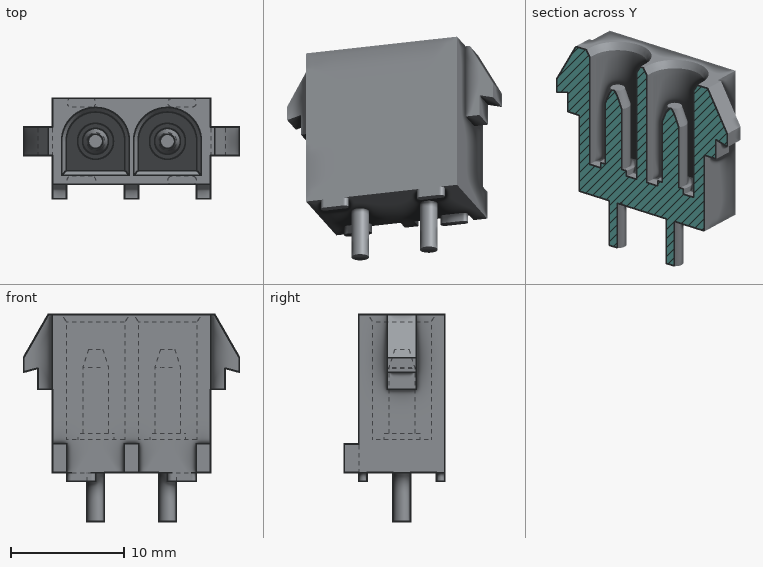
import cadquery as cq

GRID = 1.27
PITCH = 5 * GRID
BODY_WIDTH = 11 * GRID
BODY_DEPTH = 6 * GRID
BODY_HEIGHT = 11 * GRID

SOCKET_RADIUS = 2.59
SOCKET_LEAD_IN = 0.40
SOCKET_LEAD_IN_DEPTH = GRID / 2
SOCKET_DEPTH = 11.0
SOCKET_CENTERS = [-PITCH / 2, PITCH / 2]

COLLAR_DIAMETER = PITCH / 2
COLLAR_HEIGHT = 0.5
CONTACT_DIAMETER = 2.29
CONTACT_TIP_DIAMETER = 1.27
CONTACT_TIP_LENGTH = 1.6
CONTACT_TOP_GAP = 3.08
TAIL_DIAMETER = 1.57
TAIL_LENGTH = 4.32

LATCH_WIDTH = 2 * GRID
LATCH_REACH = 2 * GRID
LATCH_TOP_REACH = 0.36
LATCH_STEM_REACH = GRID
LATCH_RAMP_DROP = 3 * GRID
LATCH_BARB_DROP = 5.10
LATCH_NOTCH_DROP = 4.76
LATCH_STEM_DROP = 6.62

BLOCK_WIDTH = GRID
BLOCK_REACH = GRID
BLOCK_HEIGHT = 2 * GRID
FOOT_LENGTH = 2 * GRID
FOOT_WIDTH = 0.76
FOOT_HEIGHT = 0.76


def socket_outline(plane, radius):
    """D outline: a half circle toward +Y on a square of the same half width."""
    return (
        plane.moveTo(-radius, -radius)
        .lineTo(radius, -radius)
        .lineTo(radius, 0)
        .threePointArc((0, radius), (-radius, 0))
        .close()
    )


def make_socket():
    """Straight D-shaped well with a tapered lead-in at its mouth."""
    well_plane = cq.Workplane("XY").workplane(offset=BODY_HEIGHT)
    well = socket_outline(well_plane, SOCKET_RADIUS).extrude(-SOCKET_DEPTH)
    rim = socket_outline(well_plane, SOCKET_RADIUS + SOCKET_LEAD_IN)
    throat_plane = rim.workplane(offset=-SOCKET_LEAD_IN_DEPTH)
    mouth = socket_outline(throat_plane, SOCKET_RADIUS).loft(ruled=True)
    return well.union(mouth)


def make_contact():
    """Turned pin: tail below the housing, collar on the socket floor, tapered tip."""
    floor = BODY_HEIGHT - SOCKET_DEPTH
    top = BODY_HEIGHT - CONTACT_TOP_GAP
    collar_base = floor / 2
    profile = [
        (0, -TAIL_LENGTH),
        (TAIL_DIAMETER / 2, -TAIL_LENGTH),
        (TAIL_DIAMETER / 2, collar_base),
        (COLLAR_DIAMETER / 2, collar_base),
        (COLLAR_DIAMETER / 2, floor + COLLAR_HEIGHT),
        (CONTACT_DIAMETER / 2, floor + COLLAR_HEIGHT),
        (CONTACT_DIAMETER / 2, top - CONTACT_TIP_LENGTH),
        (CONTACT_TIP_DIAMETER / 2, top),
        (0, top),
    ]
    return cq.Workplane("XZ").polyline(profile).close().revolve(360, (0, 0), (0, 1))


def make_right_latch():
    wall = BODY_WIDTH / 2
    profile = [
        (wall, BODY_HEIGHT),
        (wall + LATCH_TOP_REACH, BODY_HEIGHT),
        (wall + LATCH_REACH, BODY_HEIGHT - LATCH_RAMP_DROP),
        (wall + LATCH_REACH, BODY_HEIGHT - LATCH_BARB_DROP),
        (wall + LATCH_STEM_REACH, BODY_HEIGHT - LATCH_NOTCH_DROP),
        (wall + LATCH_STEM_REACH, BODY_HEIGHT - LATCH_STEM_DROP),
        (wall, BODY_HEIGHT - LATCH_STEM_DROP),
    ]
    return cq.Workplane("XZ").polyline(profile).close().extrude(LATCH_WIDTH / 2, both=True)


def make_front_blocks():
    outer_x = (BODY_WIDTH - BLOCK_WIDTH) / 2
    return (
        cq.Workplane("XY")
        .pushPoints([(x, -(BODY_DEPTH + BLOCK_REACH) / 2) for x in (-outer_x, 0, outer_x)])
        .rect(BLOCK_WIDTH, BLOCK_REACH)
        .extrude(BLOCK_HEIGHT)
    )


def make_feet():
    """Four round-ended feet, flush with the front and back and in line with the end blocks' inner sides."""
    foot_x = BODY_WIDTH / 2 - BLOCK_WIDTH - FOOT_LENGTH / 2
    foot_y = (BODY_DEPTH - FOOT_WIDTH) / 2
    return (
        cq.Workplane("XY")
        .rect(2 * foot_x, 2 * foot_y, forConstruction=True)
        .vertices()
        .slot2D(FOOT_LENGTH, FOOT_WIDTH)
        .extrude(-FOOT_HEIGHT)
    )


housing = cq.Workplane("XY").box(BODY_WIDTH, BODY_DEPTH, BODY_HEIGHT, centered=(True, True, False))
for center_x in SOCKET_CENTERS:
    housing = housing.cut(make_socket().translate((center_x, 0, 0)))

right_latch = make_right_latch()
left_latch = right_latch.mirror("YZ")
result = housing.union(right_latch).union(left_latch).union(make_front_blocks()).union(make_feet())
for center_x in SOCKET_CENTERS:
    result = result.union(make_contact().translate((center_x, 0, 0)))